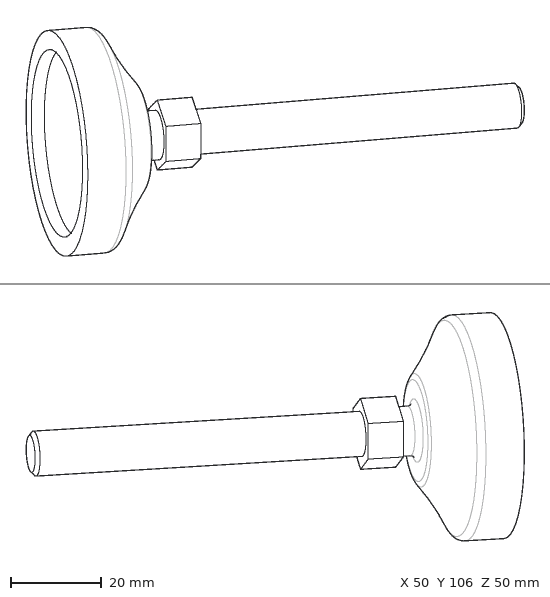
import cadquery as cq
import math

TOTAL_LENGTH = 106.0

FOOT_DIAMETER = 50.0
RIM_HEIGHT = 10.0
FOOT_HEIGHT = 18.5
FOOT_TOP_DIAMETER = 24.0
FLANK_SAG = 0.5
FOOT_ROUNDING = 2.0

RECESS_DIAMETER = 41.5
RECESS_DEPTH = 3.0

NECK_DIAMETER = 11.0
NECK_FILLET = 1.5

HEX_ACROSS_FLATS = 14.0
HEX_START = 23.0
HEX_LENGTH = 8.0

STUD_DIAMETER = 10.0
STUD_CHAMFER = 0.9


def disc(diameter, start, end):
    """Cylinder about the Y axis between two Y positions."""
    return (
        cq.Workplane("XZ", origin=(0, start, 0))
        .circle(diameter / 2)
        .extrude(start - end)
    )


def make_foot():
    """Revolved foot with a concave flank, rounded at its top and rim corners."""
    rim_radius = FOOT_DIAMETER / 2
    top_radius = FOOT_TOP_DIAMETER / 2
    run = rim_radius - top_radius
    rise = FOOT_HEIGHT - RIM_HEIGHT
    chord = math.hypot(run, rise)
    flank_middle = (
        (rim_radius + top_radius) / 2 - FLANK_SAG * rise / chord,
        (RIM_HEIGHT + FOOT_HEIGHT) / 2 - FLANK_SAG * run / chord,
    )
    foot = (
        cq.Workplane("XY")
        .moveTo(0, 0)
        .lineTo(rim_radius, 0)
        .lineTo(rim_radius, RIM_HEIGHT)
        .threePointArc(flank_middle, (top_radius, FOOT_HEIGHT))
        .lineTo(0, FOOT_HEIGHT)
        .close()
        .revolve(360, (0, 0, 0), (0, 1, 0))
    )
    foot = foot.faces("not %PLANE").faces(">Y").edges("%CIRCLE").fillet(FOOT_ROUNDING)
    return foot.cut(disc(RECESS_DIAMETER, 0, RECESS_DEPTH))


def make_neck():
    """Plain neck that flares through a concave fillet into the foot."""
    neck_radius = NECK_DIAMETER / 2
    flare_radius = neck_radius + NECK_FILLET
    fillet_top = FOOT_HEIGHT + NECK_FILLET
    diagonal = NECK_FILLET * math.cos(math.radians(45))
    return (
        cq.Workplane("XY")
        .moveTo(0, FOOT_HEIGHT)
        .lineTo(flare_radius, FOOT_HEIGHT)
        .threePointArc((flare_radius - diagonal, fillet_top - diagonal), (neck_radius, fillet_top))
        .lineTo(neck_radius, HEX_START)
        .lineTo(0, HEX_START)
        .close()
        .revolve(360, (0, 0, 0), (0, 1, 0))
    )


def make_hexagon():
    """Wrench hexagon with flats facing +X and -X."""
    across_corners = HEX_ACROSS_FLATS / math.cos(math.radians(30))
    return (
        cq.Workplane("XZ", origin=(0, HEX_START, 0))
        .transformed(rotate=(0, 0, 90))
        .polygon(6, across_corners)
        .extrude(-HEX_LENGTH)
    )


def make_stud():
    """Round stud with a chamfered free end."""
    stud = disc(STUD_DIAMETER, HEX_START + HEX_LENGTH, TOTAL_LENGTH)
    return stud.faces(">Y").edges().chamfer(STUD_CHAMFER)


result = make_foot().union(make_neck()).union(make_hexagon()).union(make_stud())